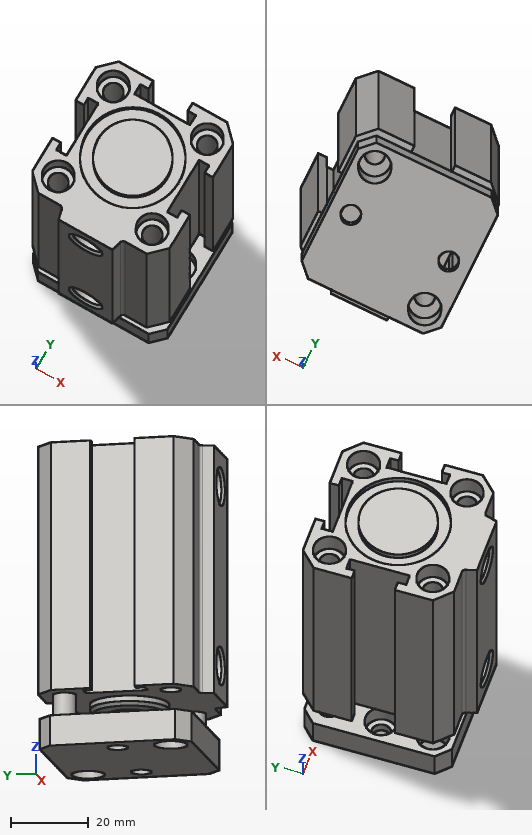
import cadquery as cq

TOTAL_HEIGHT = 80.0
PLATE_THICKNESS = 8.0
COLLAR_BOTTOM = 12.2
HOUSING_BOTTOM = 14.6
HOUSING_HEIGHT = TOTAL_HEIGHT - HOUSING_BOTTOM

HOUSING_SIDE = 41.0
HOUSING_HALF = HOUSING_SIDE / 2
HOUSING_CORNER = 4.3
RIDGE_HEIGHT = 3.5
RIDGE_BASE_WIDTH = 17.9
RIDGE_TOP_WIDTH = 16.0
RIDGE_FILLET = 1.0

SLOT_MOUTH = 11.7
SLOT_LIP = 2.5
SLOT_DEPTH = 5.4
SIDE_SLOT_WIDTH = 16.2
BACK_SLOT_WIDTH = 16.5

RECESS_DIAMETER = 27.1
RECESS_DEPTH = 1.6
DISC_DIAMETER = 20.5
COLLAR_DIAMETER = DISC_DIAMETER
COLLAR_CHAMFER = 1.0

HOLE_OFFSET = 14.0
BOLT_DIAMETER = 5.3
COUNTERBORE_DIAMETER = 8.5
HOUSING_COUNTERBORE_DEPTH = 5.6
PLATE_COUNTERBORE_DEPTH = 5.3
ACCESS_DIAMETER = 8.6

PORT_DIAMETER = 8.5
PORT_MOUTH_DIAMETER = 10.0
PORT_DEPTH = 9.6
PORT_END_DISTANCE = 9.0

PLATE_SIDE = 40.0
PLATE_CORNER = 3.5
GUIDE_DIAMETER = 6.0
ROD_DIAMETER = 10.0
ROD_TIP_DIAMETER = 9.0
ROD_ACROSS_FLATS = 8.0
FLATS_TOP = 11.0

GUIDE_POINTS = [(-HOLE_OFFSET, HOLE_OFFSET), (HOLE_OFFSET, -HOLE_OFFSET)]
OPEN_POINTS = [(-HOLE_OFFSET, -HOLE_OFFSET), (HOLE_OFFSET, HOLE_OFFSET)]
SIDE_POINTS = [(-HOLE_OFFSET, 0), (HOLE_OFFSET, 0)]


def cylinder(diameter, bottom, height):
    """Upright cylinder on the main axis."""
    return cq.Workplane("XY").workplane(offset=bottom).circle(diameter / 2).extrude(height)


def chamfered_block(side, corner, bottom, height):
    """Square block with its four upright edges chamfered."""
    block = cq.Workplane("XY").workplane(offset=bottom).rect(side, side).extrude(height)
    return block.edges("|Z").chamfer(corner)


def front_ridge():
    """Tapered ridge along the -Y side."""
    foot_y = -HOUSING_HALF
    return (
        cq.Workplane("XY")
        .workplane(offset=HOUSING_BOTTOM)
        .moveTo(-RIDGE_BASE_WIDTH / 2, foot_y)
        .lineTo(-RIDGE_TOP_WIDTH / 2, foot_y - RIDGE_HEIGHT)
        .lineTo(RIDGE_TOP_WIDTH / 2, foot_y - RIDGE_HEIGHT)
        .lineTo(RIDGE_BASE_WIDTH / 2, foot_y)
        .close()
        .extrude(HOUSING_HEIGHT)
    )


def slot_step(width, floor_depth, height):
    """Full-length box, its floor floor_depth below the +Y side and its top height above the floor."""
    start = cq.Workplane("XY").workplane(offset=HOUSING_BOTTOM)
    step = start.center(0, HOUSING_HALF - floor_depth + height / 2).rect(width, height)
    return step.extrude(HOUSING_HEIGHT)


def t_slot(wide_width, angle):
    """Cutter for a T-slot in the +Y side, turned about the main axis by angle."""
    mouth = slot_step(SLOT_MOUTH, SLOT_DEPTH, SLOT_DEPTH)
    wide = slot_step(wide_width, SLOT_DEPTH, SLOT_DEPTH - SLOT_LIP)
    return mouth.union(wide).rotate((0, 0, 0), (0, 0, 1), angle)


def air_port(height):
    """Cutter for a blind port with a chamfered mouth, entering the ridge from -Y."""
    ridge_top = (0, -HOUSING_HALF - RIDGE_HEIGHT, height)
    mouth_depth = (PORT_MOUTH_DIAMETER - PORT_DIAMETER) / 2
    bore = cq.Workplane("XZ", origin=ridge_top).circle(PORT_DIAMETER / 2).extrude(-PORT_DEPTH)
    mouth = cq.Workplane("XZ", origin=ridge_top).circle(PORT_MOUTH_DIAMETER / 2)
    mouth = mouth.workplane(offset=-mouth_depth).circle(PORT_DIAMETER / 2).loft()
    return bore.union(mouth)


def make_housing():
    """Cylinder housing with its ridge, slots, ports, bolt holes and bottom collar."""
    housing = chamfered_block(HOUSING_SIDE, HOUSING_CORNER, HOUSING_BOTTOM, HOUSING_HEIGHT)
    housing = housing.union(front_ridge())
    foot_half_width = RIDGE_BASE_WIDTH / 2
    ridge_foot = cq.selectors.BoxSelector(
        (-foot_half_width - RIDGE_FILLET, -HOUSING_HALF - RIDGE_FILLET, HOUSING_BOTTOM),
        (foot_half_width + RIDGE_FILLET, -HOUSING_HALF + RIDGE_FILLET, TOTAL_HEIGHT),
    )
    housing = housing.edges("|Z").edges(ridge_foot).fillet(RIDGE_FILLET)

    housing = housing.cut(t_slot(BACK_SLOT_WIDTH, 0))
    for angle in (90, -90):
        housing = housing.cut(t_slot(SIDE_SLOT_WIDTH, angle))

    for height in (HOUSING_BOTTOM + PORT_END_DISTANCE, TOTAL_HEIGHT - PORT_END_DISTANCE):
        housing = housing.cut(air_port(height))

    recess_floor = TOTAL_HEIGHT - RECESS_DEPTH
    housing = housing.cut(cylinder(RECESS_DIAMETER, recess_floor, RECESS_DEPTH))
    housing = housing.union(cylinder(DISC_DIAMETER, recess_floor, RECESS_DEPTH))

    housing = (
        housing.faces(">Z")
        .workplane(origin=(0, 0, TOTAL_HEIGHT))
        .pushPoints(GUIDE_POINTS + OPEN_POINTS)
        .cboreHole(BOLT_DIAMETER, COUNTERBORE_DIAMETER, HOUSING_COUNTERBORE_DEPTH)
    )

    collar = cylinder(COLLAR_DIAMETER, COLLAR_BOTTOM, HOUSING_BOTTOM - COLLAR_BOTTOM)
    return housing.union(collar.faces("<Z").chamfer(COLLAR_CHAMFER))


def piston_rod():
    """Piston rod with a chamfered tip and two wrench flats facing +X and -X."""
    rod = cylinder(ROD_DIAMETER, PLATE_THICKNESS, COLLAR_BOTTOM - PLATE_THICKNESS)
    rod = rod.faces("<Z").chamfer((ROD_DIAMETER - ROD_TIP_DIAMETER) / 2)
    flats_height = FLATS_TOP - PLATE_THICKNESS
    around_flats = cq.Workplane("XY").workplane(offset=PLATE_THICKNESS)
    around_flats = around_flats.rect(2 * ROD_DIAMETER, ROD_DIAMETER)
    around_flats = around_flats.rect(ROD_ACROSS_FLATS, ROD_DIAMETER).extrude(flats_height)
    return rod.cut(around_flats)


def make_carriage():
    """Moving body: end plate, two guide rods and the piston rod."""
    carriage = chamfered_block(PLATE_SIDE, PLATE_CORNER, 0, PLATE_THICKNESS)
    carriage = (
        carriage.faces(">Z")
        .workplane(origin=(0, 0, PLATE_THICKNESS))
        .pushPoints(SIDE_POINTS)
        .cboreHole(BOLT_DIAMETER, COUNTERBORE_DIAMETER, PLATE_COUNTERBORE_DEPTH)
        .pushPoints(OPEN_POINTS)
        .hole(ACCESS_DIAMETER)
    )
    guides = (
        cq.Workplane("XY")
        .workplane(offset=PLATE_THICKNESS)
        .pushPoints(GUIDE_POINTS)
        .circle(GUIDE_DIAMETER / 2)
        .extrude(HOUSING_BOTTOM - PLATE_THICKNESS)
    )
    return carriage.union(guides).union(piston_rod())


housing = make_housing()
carriage = make_carriage()
result = cq.Compound.makeCompound([housing.val(), carriage.val()])